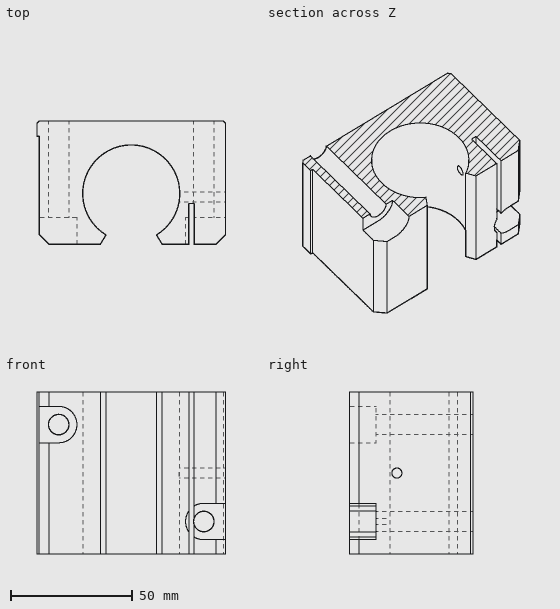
import cadquery as cq
import math

width = 78.0
depth = 51.0
height = 67.0
half_width = width / 2

back_chamfer = 1.0
front_chamfer = 4.0
lip_step = 1.0
lip_length = 6.5

bore_diameter = 40.0
bore_radius = bore_diameter / 2
bore_y = 21.0
mouth_half_width = 10.4

slot_x = 24.9
slot_width = 2.2
slot_depth = 16.8

bolt_x = 29.95
bolt_z_inset = 13.5
bolt_diameter = 8.35
seat_diameter = 15.05
seat_depth = 11.0

cross_diameter = 4.1
cross_drop = 1.4
cross_y = bore_y - cross_drop


def make_body():
    left = -half_width + lip_step
    outline = [
        (left + front_chamfer, 0),
        (half_width - front_chamfer, 0),
        (half_width, front_chamfer),
        (half_width, depth - back_chamfer),
        (half_width - back_chamfer, depth),
        (-half_width + back_chamfer, depth),
        (-half_width, depth - back_chamfer),
        (-half_width, depth - lip_length),
        (left, depth - lip_length),
        (left, front_chamfer),
    ]
    return cq.Workplane("XY").polyline(outline).close().extrude(height)


def make_bore():
    bore = cq.Workplane("XY").center(0, bore_y).circle(bore_radius).extrude(height)
    mouth_angle = math.asin(mouth_half_width / bore_radius)
    front_half_width = bore_y * math.tan(mouth_angle)
    mouth = (
        cq.Workplane("XY")
        .polyline([(0, bore_y), (-front_half_width, 0), (front_half_width, 0)])
        .close()
        .extrude(height)
    )
    return bore.union(mouth)


def make_slot():
    slot = cq.Workplane("XY").box(slot_width, slot_depth, height, (True, False, False))
    return slot.translate((slot_x, 0, 0))


def make_bolt_cut(side, z):
    """Bolt hole and rounded seat; side is -1 for left and +1 for right."""
    x = side * bolt_x
    plane = cq.Workplane("XZ").center(x, z)
    hole = plane.circle(bolt_diameter / 2).extrude(-depth)
    round_end = plane.circle(seat_diameter / 2).extrude(-seat_depth)
    run_out = half_width - bolt_x
    open_side = plane.center(side * run_out / 2, 0).rect(run_out, seat_diameter).extrude(-seat_depth)
    return hole.union(round_end).union(open_side)


def make_cross_hole():
    return cq.Workplane("YZ").center(cross_y, height / 2).circle(cross_diameter / 2).extrude(half_width)


result = make_body().cut(make_bore()).cut(make_slot())
for side, z in ((-1, height - bolt_z_inset), (1, bolt_z_inset)):
    result = result.cut(make_bolt_cut(side, z))
result = result.cut(make_cross_hole())